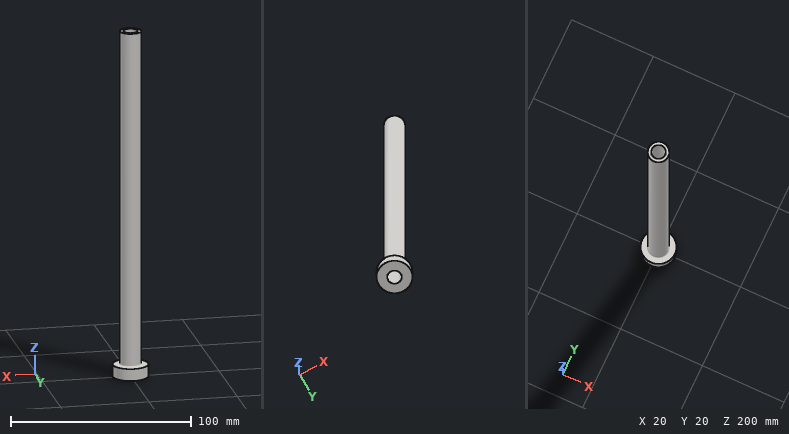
import cadquery as cq

total_length = 200.0
head_diameter = 20.0
head_height = 7.0
tube_diameter = 12.0
bore_diameter = 8.0
root_fillet = 0.7

sleeve = cq.Workplane("XY").circle(head_diameter / 2).extrude(head_height)

tube_length = total_length - head_height
sleeve = sleeve.faces(">Z").workplane().circle(tube_diameter / 2).extrude(tube_length)

root_box = cq.selectors.BoxSelector(
    (-tube_diameter, -tube_diameter, head_height - root_fillet),
    (tube_diameter, tube_diameter, head_height + root_fillet),
)
sleeve = sleeve.edges(root_box).edges(cq.selectors.RadiusNthSelector(0)).fillet(root_fillet)

bore = cq.Workplane("XY").circle(bore_diameter / 2).extrude(total_length)
result = sleeve.cut(bore)